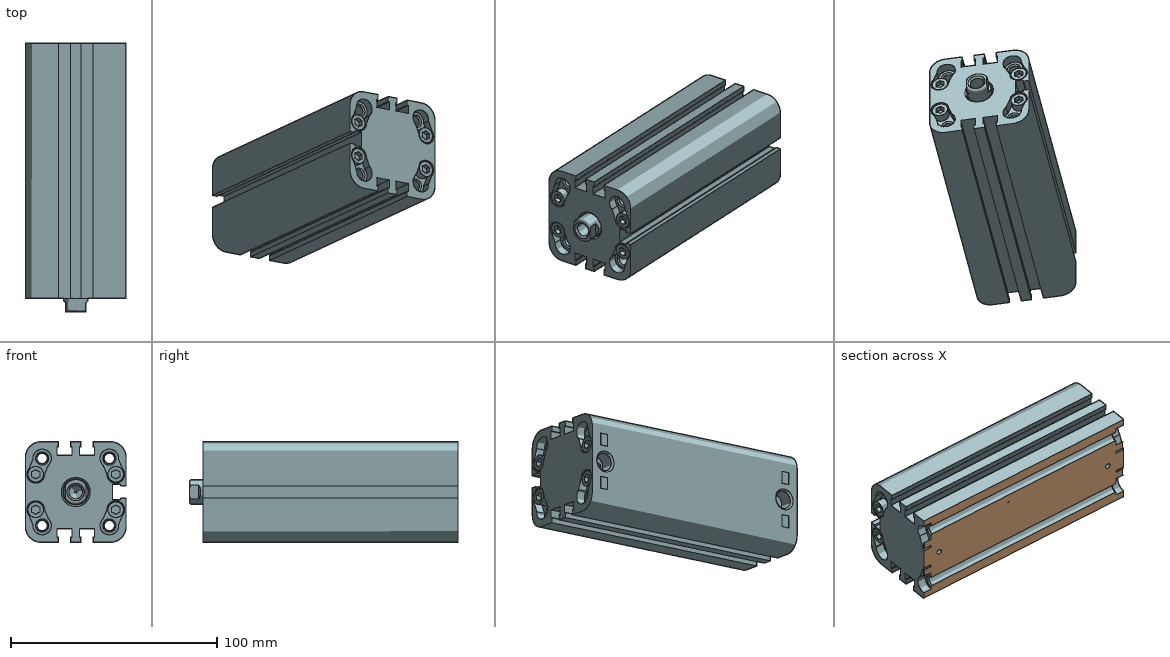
import cadquery as cq
import math


width = 49.0
corner_radius = 7.8
overall_length = 130.2
rod_projection = 6.5
body_length = overall_length - rod_projection

slot_offset = 5.5
slot_depth = 6.6
slot_mouth_width = 5.9
slot_inner_width = 7.2
slot_lip = 2.6

side_slot_mouth_width = 6.0
side_slot_inner_width = 7.4
side_slot_lip_taper = 0.4

hole_offset = 16.3
hole_diameter = 5.0
hole_mouth_diameter = 6.4
screw_x = 19.4
screw_z = 8.6
pocket_width = 8.1
hole_counterbore_diameter = 9.0
screw_counterbore_diameter = 8.6
pocket_depth = 4.5
head_diameter = 7.5
head_recess = 0.4
hex_sides = 6
hex_across_flats = 3.9
hex_depth = 2.6

port_setback = 7.8
port_diameter = 8.6
port_mouth_diameter = 10.4
port_depth = 8.0
air_hole_diameter = 2.5
air_hole_shift = 2.0
air_hole_depth = 3.9

label_setback = 7.2
label_offset = 11.0
label_length = 4.2
label_height = 6.0
label_depth = 0.1

rod_diameter = 12.0
rod_flat_width = 9.9
rod_flat_length = 4.4
rod_flat_run_out = (rod_diameter - rod_flat_width) / 2
rod_tip_fillet = 0.98
guide_diameter = 12.5
guide_mouth_diameter = 14.0
guide_depth = 3.9
rod_bore_diameter = 6.6
rod_bore_mouth_diameter = 8.5
rod_bore_depth = 12.0
drill_point_angle = 118.0
drill_tip_diameter = 1.2

half_width = width / 2


def cylinder(x, z, y_start, length, diameter):
    """Cylinder parallel to Y, running from y_start toward +Y."""
    start = cq.Vector(x, y_start, z)
    return cq.Workplane(cq.Solid.makeCylinder(diameter / 2, length, start, cq.Vector(0, 1, 0)))


def cone(start, direction, start_diameter, end_diameter, length):
    """Cone frustum from a start point along a direction."""
    axis = (cq.Vector(*start), cq.Vector(*direction))
    return cq.Workplane(cq.Solid.makeCone(start_diameter / 2, end_diameter / 2, length, *axis))


def countersink(start, direction, mouth_diameter, bore_diameter):
    """45 degree lead-in from a mouth diameter down to a bore diameter."""
    return cone(start, direction, mouth_diameter, bore_diameter, (mouth_diameter - bore_diameter) / 2)


def along_y(profile, length):
    """Extrude an XZ profile from y = 0 toward +Y."""
    return profile.extrude(-length)


def slot_cutter(mouth_width, inner_width, lip_taper):
    """T-slot opening upward, centred on x = 0 in the top face."""
    mouth = mouth_width / 2
    inner = inner_width / 2
    lip_z = half_width - slot_lip
    points = [
        (mouth, half_width),
        (mouth, lip_z),
        (inner, lip_z - lip_taper),
        (inner, half_width - slot_depth),
    ]
    mirrored = [(-x, z) for x, z in reversed(points)]
    return along_y(cq.Workplane("XZ").polyline(points + mirrored).close(), body_length)


def make_body():
    body = along_y(cq.Workplane("XZ").rect(width, width), body_length)
    body = body.edges("|Y").fillet(corner_radius)
    top_slot = slot_cutter(slot_mouth_width, slot_inner_width, 0)
    for x in (-slot_offset, slot_offset):
        slot = top_slot.translate((x, 0, 0))
        body = body.cut(slot).cut(slot.mirror("XY"))
    side_slot = slot_cutter(side_slot_mouth_width, side_slot_inner_width, side_slot_lip_taper)
    return body.cut(side_slot.rotate((0, 0, 0), (0, 1, 0), 90))


def pocket_cutter():
    """Round-ended pocket joining hole and screw in the +X +Z corner, counterbored at both ends."""
    dx = screw_x - hole_offset
    dz = screw_z - hole_offset
    link = (
        cq.Workplane("XZ")
        .center(hole_offset + dx / 2, hole_offset + dz / 2)
        .slot2D(math.hypot(dx, dz) + pocket_width, pocket_width, math.degrees(math.atan2(dz, dx)))
    )
    hole_end = cylinder(hole_offset, hole_offset, 0, pocket_depth, hole_counterbore_diameter)
    screw_end = cylinder(screw_x, screw_z, 0, pocket_depth, screw_counterbore_diameter)
    return along_y(link, pocket_depth).union(hole_end).union(screw_end)


def cap_screw():
    """Socket head standing on the pocket floor, with the hexagon points up and down."""
    head = cylinder(screw_x, screw_z, head_recess, pocket_depth - head_recess, head_diameter)
    half_sector = 180 / hex_sides
    hex_circle = hex_across_flats / math.cos(math.radians(half_sector))
    socket = along_y(cq.Workplane("XZ").polygon(hex_sides, hex_circle), hex_depth)
    socket = socket.rotate((0, 0, 0), (0, 1, 0), half_sector).translate((screw_x, head_recess, screw_z))
    return head.cut(socket)


def corner_cutter():
    """Pocket, hole lead-in and mounting hole up to mid length."""
    pocket = pocket_cutter().cut(cap_screw())
    hole = cylinder(hole_offset, hole_offset, 0, body_length / 2, hole_diameter)
    mouth = (hole_offset, pocket_depth, hole_offset)
    lead_in = countersink(mouth, (0, 1, 0), hole_mouth_diameter, hole_diameter)
    return pocket.union(hole).union(lead_in)


def port_cutter():
    """Front air port with its off-centre air hole."""
    mouth = (-half_width, port_setback, 0)
    port = cq.Workplane("YZ", origin=mouth).circle(port_diameter / 2).extrude(port_depth)
    lead_in = countersink(mouth, (1, 0, 0), port_mouth_diameter, port_diameter)
    air_hole = (
        cq.Workplane("YZ", origin=mouth)
        .center(air_hole_shift, 0)
        .circle(air_hole_diameter / 2)
        .extrude(port_depth + air_hole_depth)
    )
    return port.union(lead_in).union(air_hole)


def label_cutter():
    """Two shallow rectangular label fields beside the front port."""
    return (
        cq.Workplane("YZ", origin=(-half_width, label_setback, 0))
        .pushPoints([(0, -label_offset), (0, label_offset)])
        .rect(label_length, label_height)
        .extrude(label_depth)
    )


def to_rear(cutter):
    """Mirror a front cap cutter onto the rear cap."""
    return cutter.mirror("XZ", (0, body_length / 2, 0))


def make_rod():
    rod = cylinder(0, 0, -rod_projection, rod_projection + guide_depth, rod_diameter)
    rod = rod.faces("<Y").edges().fillet(rod_tip_fillet)
    flat_end = -rod_projection + rod_flat_length
    flat = rod_flat_width / 2
    outer = flat + rod_flat_run_out
    flat_cutter = (
        cq.Workplane("XY")
        .polyline([
            (flat, -rod_projection),
            (flat, flat_end),
            (outer, flat_end + rod_flat_run_out),
            (outer, -rod_projection),
        ])
        .close()
        .extrude(rod_diameter / 2, both=True)
    )
    return rod.cut(flat_cutter).cut(flat_cutter.mirror("YZ"))


def rod_bore_cutter():
    """Blind bore in the rod tip with a lead-in and a drill point."""
    tip = (0, -rod_projection, 0)
    bottom = (0, rod_bore_depth - rod_projection, 0)
    point_width = (rod_bore_diameter - drill_tip_diameter) / 2
    point_length = point_width / math.tan(math.radians(drill_point_angle / 2))
    bore = cylinder(0, 0, -rod_projection, rod_bore_depth, rod_bore_diameter)
    bore = bore.union(countersink(tip, (0, 1, 0), rod_bore_mouth_diameter, rod_bore_diameter))
    return bore.union(cone(bottom, (0, 1, 0), rod_bore_diameter, drill_tip_diameter, point_length))


result = make_body()

corner = corner_cutter()
corners = corner.union(corner.mirror("YZ"))
corners = corners.union(corners.mirror("XY"))
for cutter in (corners, port_cutter(), label_cutter()):
    result = result.cut(cutter).cut(to_rear(cutter))

guide = cylinder(0, 0, 0, guide_depth, guide_diameter)
guide = guide.union(countersink((0, 0, 0), (0, 1, 0), guide_mouth_diameter, guide_diameter))
result = result.cut(guide).union(make_rod()).cut(rod_bore_cutter())